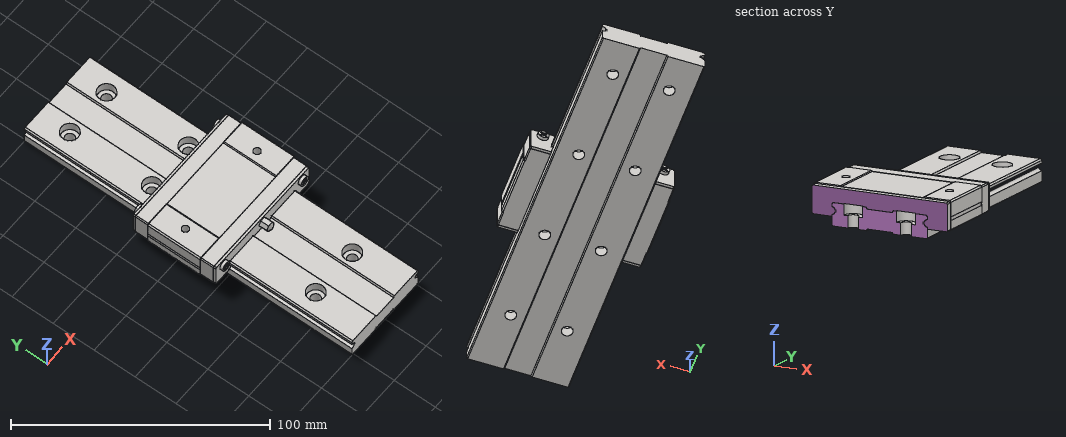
import cadquery as cq
import math

rail_length = 160.0
rail_width = 42.0
rail_height = 9.6
rail_bottom_chamfer = 0.5
rail_top_chamfer = 0.6
channel_width = 11.7
channel_wall_run = 0.5
top_channel_depth = 0.8
bottom_channel_depth = 0.6
race_height = 6.2
race_radius = 1.5
relief_half_height = 0.24
relief_depth = 2.0

hole_pitch = 40.0
hole_row_count = 4
hole_end_margin = 15.0
hole_spacing = 23.0
hole_diameter = 4.5
counterbore_diameter = 8.0
counterbore_depth = 4.5

block_width = 60.0
block_length = 25.6
block_top = 16.0
block_chamfer = 0.6
carriage_bottom = 3.8
carriage_length = 40.3
cap_width = 59.2
cap_top = 15.5
cap_chamfer = 0.5
plate_thickness = 1.1
plate_inset = 0.2

recess_width = 35.4
recess_depth = 0.3
recess_wall_run = 0.5

side_groove_height = 8.8
side_groove_opening = 1.5
side_groove_depth = 0.2

mount_spacing = 45.1
mount_diameter = 3.2
mount_depth = 4.8
drill_point_angle = 118.0

screw_spacing = 49.3
screw_height = 12.3
screw_head_diameter = 4.5
screw_head_thickness = 1.5
cross_slot_length = 3.0
cross_slot_width = 0.6
cross_slot_depth = 0.5

nipple_height = 12.5
nipple_hex_flats = 4.0
nipple_hex_length = 3.8
nipple_dome_height = 1.0

carriage_end = carriage_length / 2


def along_y(section, length):
    """Extrude a section drawn in XZ evenly to both sides of Y = 0."""
    return section.extrude(length / 2, both=True)


def rail_blank():
    """Rail profile with its ball races, along the whole length, without holes."""
    edge = rail_width / 2
    channel_edge = channel_width / 2
    channel_floor_edge = channel_edge - channel_wall_run
    relief_x = edge - math.sqrt(race_radius**2 - relief_half_height**2)
    arc_angle = (math.pi / 2 + math.asin(relief_half_height / race_radius)) / 2
    arc_x = edge - race_radius * math.sin(arc_angle)
    arc_rise = race_radius * math.cos(arc_angle)
    half = (
        cq.Workplane("XZ")
        .moveTo(0, bottom_channel_depth)
        .lineTo(channel_floor_edge, bottom_channel_depth)
        .lineTo(channel_edge, 0)
        .lineTo(edge - rail_bottom_chamfer, 0)
        .lineTo(edge, rail_bottom_chamfer)
        .lineTo(edge, race_height - race_radius)
        .threePointArc((arc_x, race_height - arc_rise), (relief_x, race_height - relief_half_height))
        .lineTo(edge - relief_depth, race_height - relief_half_height)
        .lineTo(edge - relief_depth, race_height + relief_half_height)
        .lineTo(relief_x, race_height + relief_half_height)
        .threePointArc((arc_x, race_height + arc_rise), (edge, race_height + race_radius))
        .lineTo(edge, rail_height - rail_top_chamfer)
        .lineTo(edge - rail_top_chamfer, rail_height)
        .lineTo(channel_edge, rail_height)
        .lineTo(channel_floor_edge, rail_height - top_channel_depth)
        .lineTo(0, rail_height - top_channel_depth)
        .close()
    )
    half = along_y(half, rail_length)
    return half.union(half.mirror("YZ"))


def make_rail():
    """Rail with two rows of counterbored mounting holes."""
    first_row = rail_length / 2 - hole_end_margin
    points = [
        (side * hole_spacing / 2, first_row - row * hole_pitch)
        for row in range(hole_row_count)
        for side in (-1, 1)
    ]
    return (
        rail_blank()
        .faces(">Z")
        .workplane(origin=(0, 0, rail_height))
        .pushPoints(points)
        .cboreHole(hole_diameter, counterbore_diameter, counterbore_depth)
    )


def mount_hole_shape():
    """Blind hole with a drill-point bottom, opening upward at the origin."""
    radius = mount_diameter / 2
    point_depth = radius / math.tan(math.radians(drill_point_angle / 2))
    return (
        cq.Workplane("XZ")
        .polyline([
            (0, 0),
            (radius, 0),
            (radius, -mount_depth),
            (0, -mount_depth - point_depth),
        ])
        .close()
        .revolve(360, (0, 0, 0), (0, 1, 0))
    )


def make_block():
    """Middle block of the carriage, before the rail opening and mounting holes are cut."""
    height = block_top - carriage_bottom
    side = block_width / 2
    block = cq.Workplane("XY").box(block_width, block_length, height, centered=(True, True, False))
    block = block.translate((0, 0, carriage_bottom))
    block = block.edges("|Y").chamfer(block_chamfer)

    recess_edge = recess_width / 2
    recess = cq.Workplane("XZ").polyline([
        (-recess_edge - recess_wall_run, block_top),
        (recess_edge + recess_wall_run, block_top),
        (recess_edge, block_top - recess_depth),
        (-recess_edge, block_top - recess_depth),
    ]).close()
    block = block.cut(along_y(recess, block_length))

    for direction in (-1, 1):
        groove = (
            cq.Workplane("XZ")
            .moveTo(direction * side, side_groove_height - side_groove_opening / 2)
            .threePointArc(
                (direction * (side - side_groove_depth), side_groove_height),
                (direction * side, side_groove_height + side_groove_opening / 2),
            )
            .close()
        )
        block = block.cut(along_y(groove, block_length))

    return block


def end_bar(width, length, bottom, top):
    """Chamfered bar along Y, centred on X and Y."""
    bar = cq.Workplane("XY").box(width, length, top - bottom, centered=(True, True, False))
    return bar.translate((0, 0, bottom)).edges("|Y").chamfer(cap_chamfer)


def make_ends():
    """Both end caps as one bar through the block, with slightly smaller plates on its ends."""
    caps = end_bar(cap_width, carriage_length - 2 * plate_thickness, carriage_bottom, cap_top)
    plates = end_bar(
        cap_width - 2 * plate_inset,
        carriage_length,
        carriage_bottom + plate_inset,
        cap_top - plate_inset,
    )
    return caps.union(plates)


def make_screw_head():
    """Cross-slotted screw head on the Y axis, facing -Y from the front end plate."""
    head = (
        cq.Workplane("XZ", origin=(0, -carriage_end, 0))
        .circle(screw_head_diameter / 2)
        .extrude(screw_head_thickness)
    )
    slot_floor = -carriage_end - screw_head_thickness + cross_slot_depth
    for angle in (45, 135):
        slot = (
            cq.Workplane("XZ", origin=(0, slot_floor, 0))
            .rect(cross_slot_length, cross_slot_width)
            .extrude(cross_slot_depth)
            .rotate((0, 0, 0), (0, 1, 0), angle)
        )
        head = head.cut(slot)
    return head


def make_carriage():
    """Block, end caps and screw heads, fitted closely around the rail."""
    carriage = make_ends().union(make_block()).cut(rail_blank())
    for x in (-mount_spacing / 2, mount_spacing / 2):
        carriage = carriage.cut(mount_hole_shape().translate((x, 0, block_top)))
    head = make_screw_head()
    for x in (-screw_spacing / 2, screw_spacing / 2):
        front_head = head.translate((x, 0, screw_height))
        carriage = carriage.union(front_head).union(front_head.mirror("XZ"))
    return carriage


def make_nipple():
    """Grease nipple on the front end plate: hexagon with a domed tip."""
    half_flats = nipple_hex_flats / 2
    hex_end = -carriage_end - nipple_hex_length
    dome_radius = (half_flats**2 + nipple_dome_height**2) / (2 * nipple_dome_height)
    dome_half_angle = math.asin(half_flats / dome_radius) / 2
    dome_tip = hex_end - nipple_dome_height
    arc_middle = (
        dome_radius * math.sin(dome_half_angle),
        dome_tip + dome_radius * (1 - math.cos(dome_half_angle)),
    )
    hexagon = (
        cq.Workplane("XZ", origin=(0, -carriage_end, 0))
        .polygon(6, nipple_hex_flats / math.cos(math.pi / 6))
        .extrude(nipple_hex_length)
    )
    dome = (
        cq.Workplane("XY")
        .moveTo(0, hex_end)
        .lineTo(half_flats, hex_end)
        .threePointArc(arc_middle, (0, dome_tip))
        .close()
        .revolve(360, (0, 0, 0), (0, 1, 0))
    )
    return hexagon.union(dome).translate((0, 0, nipple_height))


rail = make_rail()
carriage = make_carriage()
nipple = make_nipple()

result = cq.Compound.makeCompound([rail.val(), carriage.val(), nipple.val()])